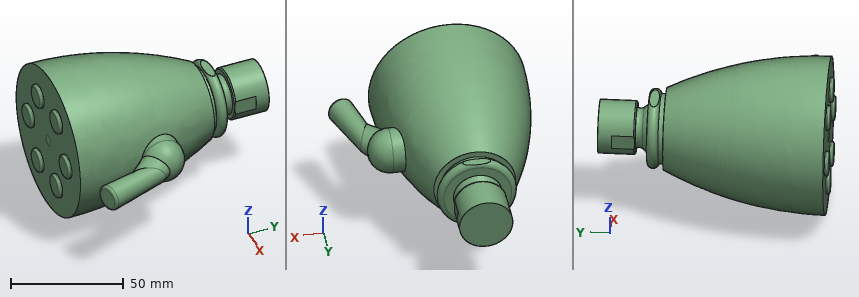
import cadquery as cq
import math


FACE_RADIUS = 35.5
SHOULDER_RADIUS = 18.5
BODY_LENGTH = 72.6

SPIGOT_RADIUS = 15.8
SPIGOT_LENGTH = 2.3
COLLAR_RADIUS = 17.9
COLLAR_WIDTH = 5.2
COLLAR_ACROSS_FLATS = 33.4

NECK_BASE_RADIUS = 11.0
NECK_WAIST_RADIUS = 8.8
NECK_CONE_LENGTH = 2.2
NECK_GROOVE_WIDTH = 3.1
NECK_GROOVE_DEPTH = 0.5
COUPLING_RADIUS = 12.0
COUPLING_LENGTH = 16.7
COUPLING_CHAMFER = 0.6
WRENCH_ACROSS_FLATS = 23.0
WRENCH_FLAT_LENGTH = 10.4

NOZZLE_COUNT = 6
NOZZLE_CIRCLE_RADIUS = 20.5
NOZZLE_RADIUS = 5.6
NOZZLE_HEIGHT = 1.7
NOZZLE_ROUNDING = 1.0
DOME_RADIUS = 2.6
DOME_HEIGHT = 0.4

HUB_RADIUS = 10.1
HUB_X = 32.9
HUB_Y = 40.8
ROOT_ANGLE = 45.0
ROOT_RADIUS = 7.7
ELBOW_X = 42.4
ELBOW_Y = 29.8
ELBOW_TILT = 69.0
ELBOW_HALF_LENGTH = 7.9
ELBOW_HALF_WIDTH = 5.2
TIP_X = 49.7
TIP_Y = 7.0
TIP_TILT = 18.0
TIP_RADIUS = 6.0
TIP_ROUNDING = 1.2

COLLAR_START = BODY_LENGTH + SPIGOT_LENGTH
COLLAR_END = COLLAR_START + COLLAR_WIDTH
GROOVE_START = COLLAR_END + NECK_CONE_LENGTH
COUPLING_START = GROOVE_START + NECK_GROOVE_WIDTH
COUPLING_END = COUPLING_START + COUPLING_LENGTH


def make_turned_body():
    """Body, collar, neck and coupling as one profile of (radius, Y) turned about Y."""
    drop = FACE_RADIUS - SHOULDER_RADIUS
    bell_radius = (BODY_LENGTH**2 + drop**2) / (2 * drop)
    half_sweep = math.asin(BODY_LENGTH / bell_radius) / 2
    bell_middle = (
        FACE_RADIUS - bell_radius * (1 - math.cos(half_sweep)),
        bell_radius * math.sin(half_sweep),
    )
    rim_rounding = COLLAR_WIDTH / 2
    rim_inner = COLLAR_RADIUS - rim_rounding
    groove_edge = NECK_WAIST_RADIUS + NECK_GROOVE_DEPTH
    groove_middle = GROOVE_START + NECK_GROOVE_WIDTH / 2
    profile = (
        cq.Workplane("XY")
        .lineTo(FACE_RADIUS, 0)
        .threePointArc(bell_middle, (SHOULDER_RADIUS, BODY_LENGTH))
        .lineTo(SPIGOT_RADIUS, BODY_LENGTH)
        .lineTo(SPIGOT_RADIUS, COLLAR_START)
        .lineTo(rim_inner, COLLAR_START)
        .threePointArc((COLLAR_RADIUS, COLLAR_START + rim_rounding), (rim_inner, COLLAR_END))
        .lineTo(NECK_BASE_RADIUS, COLLAR_END)
        .lineTo(groove_edge, GROOVE_START)
        .threePointArc((NECK_WAIST_RADIUS, groove_middle), (groove_edge, COUPLING_START))
        .lineTo(COUPLING_RADIUS - COUPLING_CHAMFER, COUPLING_START)
        .lineTo(COUPLING_RADIUS, COUPLING_START + COUPLING_CHAMFER)
        .lineTo(COUPLING_RADIUS, COUPLING_END)
        .lineTo(0, COUPLING_END)
        .close()
    )
    return profile.revolve(360, (0, 0, 0), (0, 1, 0))


def cut_flats(body):
    """Two flats on the collar at +Z and -Z, two wrench flats on the coupling at +X and -X."""
    collar_depth = COLLAR_RADIUS
    collar_cutter = cq.Workplane("XY").box(2 * COLLAR_RADIUS, COLLAR_WIDTH, collar_depth)
    wrench_depth = COUPLING_RADIUS
    wrench_cutter = cq.Workplane("XY").box(wrench_depth, WRENCH_FLAT_LENGTH, 2 * COUPLING_RADIUS)
    collar_y = (COLLAR_START + COLLAR_END) / 2
    wrench_y = COUPLING_START + WRENCH_FLAT_LENGTH / 2
    for side in (-1, 1):
        collar_z = side * (COLLAR_ACROSS_FLATS + collar_depth) / 2
        wrench_x = side * (WRENCH_ACROSS_FLATS + wrench_depth) / 2
        body = body.cut(collar_cutter.translate((0, collar_y, collar_z)))
        body = body.cut(wrench_cutter.translate((wrench_x, wrench_y, 0)))
    return body


def add_spray_face(body):
    """A ring of round-edged nozzles and a low dome at the centre, standing out toward -Y."""
    nozzles = (
        cq.Workplane("XZ")
        .polarArray(NOZZLE_CIRCLE_RADIUS, 0, 360, NOZZLE_COUNT)
        .circle(NOZZLE_RADIUS)
        .extrude(NOZZLE_HEIGHT)
        .faces("<Y")
        .edges()
        .fillet(NOZZLE_ROUNDING)
    )
    ball_radius = (DOME_RADIUS**2 + DOME_HEIGHT**2) / (2 * DOME_HEIGHT)
    dome = cq.Workplane("XY").sphere(ball_radius).translate((0, ball_radius - DOME_HEIGHT, 0))
    return body.union(nozzles).union(dome)


def lever_section(x, y, tilt, half_length, half_width):
    """Elliptic wire at (x, y, 0) whose normal is turned by tilt degrees from -Y toward +X."""
    angle = math.radians(tilt)
    normal = cq.Vector(math.sin(angle), -math.cos(angle), 0)
    across = cq.Vector(math.cos(angle), math.sin(angle), 0)
    plane = cq.Plane(origin=(x, y, 0), xDir=across, normal=normal)
    return cq.Workplane(plane).ellipse(half_length, half_width).wire().val()


def make_lever():
    """Hub, round nose and elbowed arm."""
    hub = cq.Workplane("YZ").center(HUB_Y, 0).circle(HUB_RADIUS).extrude(HUB_X)
    nose = cq.Workplane("XY").sphere(HUB_RADIUS).translate((HUB_X, HUB_Y, 0))

    root = lever_section(HUB_X, HUB_Y, ROOT_ANGLE, ROOT_RADIUS, ROOT_RADIUS)
    elbow = lever_section(ELBOW_X, ELBOW_Y, ELBOW_TILT, ELBOW_HALF_LENGTH, ELBOW_HALF_WIDTH)
    tip = lever_section(TIP_X, TIP_Y, TIP_TILT, TIP_RADIUS, TIP_RADIUS)
    arm = cq.Workplane(cq.Solid.makeLoft([root, elbow, tip], True))
    arm = arm.faces("<Y").edges().fillet(TIP_ROUNDING)
    return hub.union(nose).union(arm)


head = cut_flats(make_turned_body())
head = add_spray_face(head)
result = head.union(make_lever()).solids()